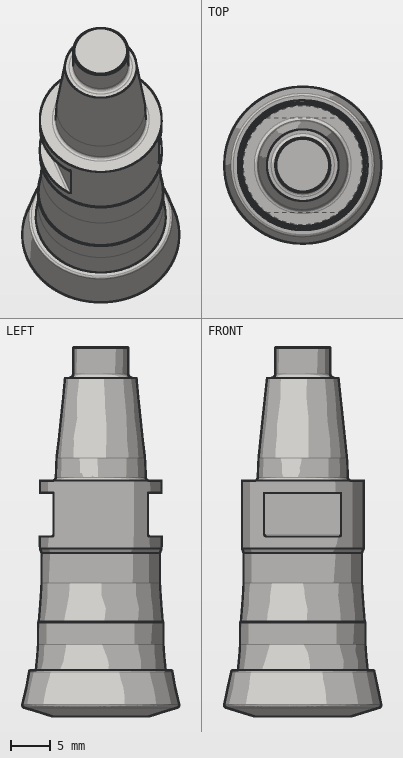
import cadquery as cq
import math

total_height = 47.0
pin_radius = 7.0 / 2
pin_end_chamfer = 0.15
taper_top_z = 43.05
taper_top_radius = 4.55
pin_root_fillet = 0.5
taper_bottom_z = 32.85
taper_bottom_radius = 5.65
barrel_bottom_radius = 5.75
barrel_bulge = 0.025
taper_root_fillet = 0.4
collar_top_z = 30.0
collar_radius = 15.5 / 2
collar_chamfer_height = 0.55
joint_z = 20.8

flat_top_z = 28.45
flat_bottom_z = 22.9
flat_offset = 6.0
flat_corner_fillet = 0.3

neck_radius = 15.1 / 2
neck_bottom_z = 16.95
band_radius = 16.0 / 2
band_top_z = 12.1
band_bottom_z = 9.15
band_edge_chamfer = 0.1
flare_hollow = 0.025
waist_radius = 8.25
rim_top_z = 5.9
rim_top_radius = 9.05
rim_top_fillet = 0.3
rim_radius = 10.05
rim_z = 1.2
rim_fillet = 0.38
base_radius = 6.1

QUARTER_TURN_INSET = 1 - math.sqrt(0.5)


def root_fillet(profile, wall_radius, floor_z, size):
    """Add a concave quarter arc running down a wall and out onto a level floor."""
    middle = (wall_radius + size * QUARTER_TURN_INSET, floor_z + size * QUARTER_TURN_INSET)
    return profile.threePointArc(middle, (wall_radius + size, floor_z))


def bowed_line(profile, start, end, bow):
    """Add an arc whose middle lies bow outside (or inside, if negative) the straight line."""
    middle = ((start[0] + end[0]) / 2 + bow, (start[1] + end[1]) / 2)
    return profile.threePointArc(middle, end)


def revolve_profile(profile):
    return profile.close().revolve(360, (0, 0, 0), (0, 1, 0))


def circle_selector(radius, z):
    """Select the circular edge of a given radius at height z; its centre lies on the axis."""
    tolerance = 0.05
    inside = cq.selectors.BoxSelector(
        (-radius - tolerance, -radius - tolerance, z - tolerance),
        (radius + tolerance, radius + tolerance, z + tolerance),
        boundingbox=True,
    )
    return inside - cq.selectors.BoxSelector(
        (-radius + tolerance, -radius + tolerance, z - tolerance),
        (radius - tolerance, radius - tolerance, z + tolerance),
        boundingbox=True,
    )


def wrench_flat(side):
    """Cutter for the flat facing -Y (side = -1) or +Y (side = 1)."""
    depth = 2 * (collar_radius - flat_offset)
    cutter = cq.Workplane("XY").box(2 * collar_radius, depth, flat_top_z - flat_bottom_z)
    inner_face = "<Y" if side > 0 else ">Y"
    cutter = cutter.faces(inner_face).edges("<Z").fillet(flat_corner_fillet)
    middle_z = (flat_top_z + flat_bottom_z) / 2
    return cutter.translate((0, side * (flat_offset + depth / 2), middle_z))


def make_plunger():
    taper_end = (taper_bottom_radius, taper_bottom_z)
    barrel_end = (barrel_bottom_radius, collar_top_z + taper_root_fillet)

    profile = (
        cq.Workplane("XZ")
        .moveTo(0, joint_z)
        .lineTo(0, total_height)
        .lineTo(pin_radius - pin_end_chamfer, total_height)
        .lineTo(pin_radius, total_height - pin_end_chamfer)
        .lineTo(pin_radius, taper_top_z + pin_root_fillet)
    )
    profile = root_fillet(profile, pin_radius, taper_top_z, pin_root_fillet)
    profile = profile.lineTo(taper_top_radius, taper_top_z).lineTo(*taper_end)
    profile = bowed_line(profile, taper_end, barrel_end, barrel_bulge)
    profile = root_fillet(profile, barrel_bottom_radius, collar_top_z, taper_root_fillet)
    profile = (
        profile.lineTo(collar_radius, collar_top_z)
        .lineTo(collar_radius, joint_z + collar_chamfer_height)
        .lineTo(neck_radius, joint_z)
    )
    plunger = revolve_profile(profile)
    for side in (-1, 1):
        plunger = plunger.cut(wrench_flat(side))
    return plunger


def make_grip():
    neck_end = (neck_radius, neck_bottom_z)
    band_start = (band_radius - band_edge_chamfer, band_top_z)
    band_end = (band_radius, band_bottom_z)
    waist = (waist_radius, rim_top_z)

    profile = (
        cq.Workplane("XZ")
        .moveTo(0, 0)
        .lineTo(0, joint_z)
        .lineTo(neck_radius, joint_z)
        .lineTo(*neck_end)
    )
    profile = bowed_line(profile, neck_end, band_start, -flare_hollow)
    profile = profile.lineTo(band_radius, band_top_z - band_edge_chamfer).lineTo(*band_end)
    profile = bowed_line(profile, band_end, waist, -flare_hollow)
    profile = profile.lineTo(rim_top_radius, rim_top_z).lineTo(rim_radius, rim_z).lineTo(base_radius, 0)
    grip = revolve_profile(profile)

    grip = grip.edges(circle_selector(rim_radius, rim_z)).fillet(rim_fillet)
    return grip.edges(circle_selector(rim_top_radius, rim_top_z)).fillet(rim_top_fillet)


plunger = make_plunger()
grip = make_grip()

result = cq.Compound.makeCompound([plunger.val(), grip.val()])